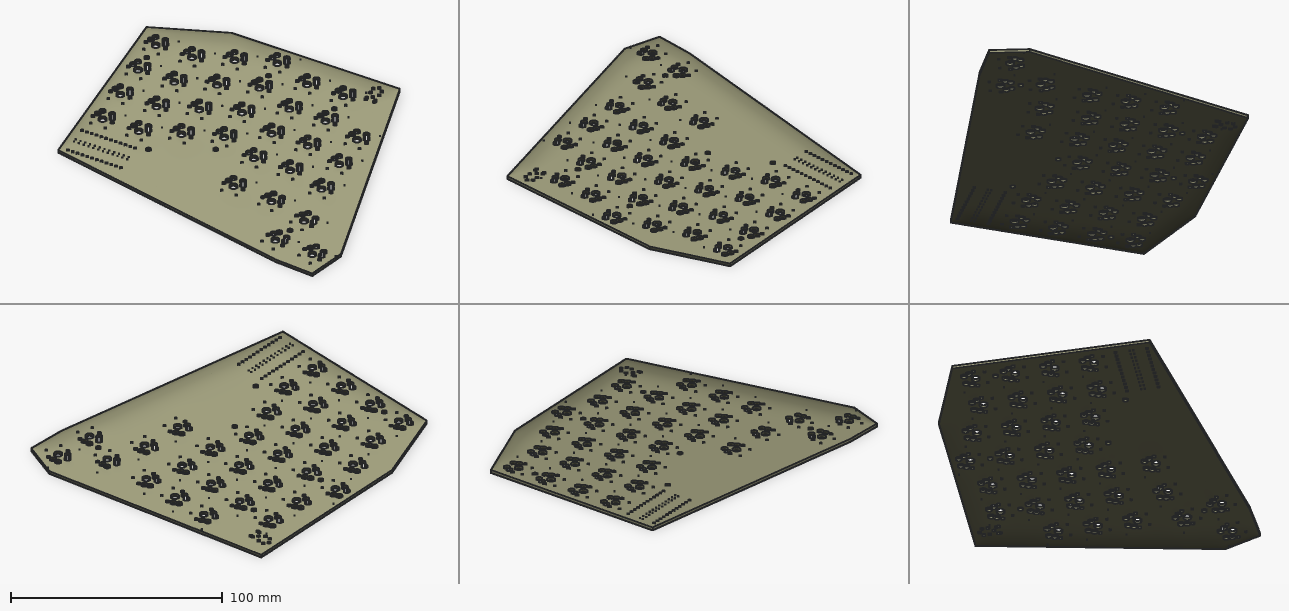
import cadquery as cq
import math

LENGTH = 151.7
WIDTH = 133.3
THICKNESS = 1.7
RIGHT = LENGTH / 2
LEFT = -RIGHT
BACK = WIDTH / 2
FRONT = -BACK
OUTLINE = [
    (LEFT, -42.5),
    (LEFT, 52.6),
    (-37.9, BACK),
    (50.5, BACK),
    (RIGHT, -48.5),
    (69.6, FRONT),
    (50.0, -65.5),
]

COLUMN_BACK_Y = [43.2, 43.2, 50.2, 57.2, 50.2, 50.2, 26.1]
COLUMN_KEYS = [4, 4, 4, 4, 4, 4, 3]
FIRST_COLUMN_X = -66.5
KEY_FIELD_WIDTH = 114.2
KEY_PITCH = KEY_FIELD_WIDTH / (len(COLUMN_KEYS) - 1)
GRID = KEY_PITCH / 15

THUMB_KEYS = [
    (9.5, -28.5, 0),
    (30.3, -30.2, 10),
    (50.0, -35.5, 20),
    (43.7, -53.4, 20),
    (63.7, -54.6, 20),
]

STEM_DIAMETER = 4.0
PEG_DIAMETER = 1.7
PEG_X = 4 * GRID
SOCKET_DIAMETER = 3.0
SOCKET_BACK = (2 * GRID, 4 * GRID)
SOCKET_FRONT = (3 * GRID, 2 * GRID)
DIODE_DIAMETER = 0.99
DIODE_X = 3 * GRID
DIODE_Y = -5.0
KEY_VIA_DIAMETER = 0.3
KEY_VIA = (8.6, 7.1)

HEADER_PINS = 12
HEADER_PITCH = 2 * GRID
HEADER_FIRST_X = -71.7
HEADER_CENTRE_Y = -32.8
HEADER_ROW_SPACING = 12 * GRID
HEADER_PIN_DIAMETER = 1.1
HEADER_VIA_CENTRE_Y = -32.9
HEADER_VIA_ROW_SPACING = 1.7
HEADER_VIA_DIAMETER = 0.4

JACK_X = 41.4
JACK_BACK_Y = 63.0
JACK_PEG_SPACING = 7.0
JACK_PIN_X = 2.3
JACK_PIN_STEPS = [1.7, 4.5, 8.6, 9.7]
JACK_HOLE_DIAMETER = 1.5

MOUNT_DIAMETER = 2.5
MOUNT_HOLES = [
    (-66.5, 33.7),
    (-9.3, 47.6),
    (-9.3, -9.3),
    (28.8, 40.7),
    (-37.8, -23.2),
    (47.0, -44.3),
]


def mirrored(x, y):
    """A point and its mirror image across the Y axis."""
    return [(-x, y), (x, y)]


def key_places():
    """Centre and clockwise turn of every key."""
    places = []
    for column, (back_y, count) in enumerate(zip(COLUMN_BACK_Y, COLUMN_KEYS)):
        x = FIRST_COLUMN_X + column * KEY_PITCH
        places += [(x, back_y - row * KEY_PITCH, 0) for row in range(count)]
    return places + THUMB_KEYS


def on_every_key(points):
    """Points given from a switch centre, repeated on every key."""
    centres = []
    for key_x, key_y, turn in key_places():
        cosine = math.cos(math.radians(turn))
        sine = math.sin(math.radians(turn))
        for x, y in points:
            centres.append((key_x + x * cosine + y * sine, key_y - x * sine + y * cosine))
    return centres


def header_row(y):
    return [(HEADER_FIRST_X + pin * HEADER_PITCH, y) for pin in range(HEADER_PINS)]


def header_row_pair(centre_y, spacing):
    return header_row(centre_y + spacing / 2) + header_row(centre_y - spacing / 2)


def jack_holes():
    centres = [(JACK_X, JACK_BACK_Y), (JACK_X, JACK_BACK_Y - JACK_PEG_SPACING)]
    for step in JACK_PIN_STEPS:
        y = JACK_BACK_Y - step
        centres += [(JACK_X - JACK_PIN_X, y), (JACK_X + JACK_PIN_X, y)]
    return centres


SEPARATE_HOLES = [
    (STEM_DIAMETER, on_every_key([(0, 0)])),
    (PEG_DIAMETER, on_every_key(mirrored(PEG_X, 0))),
    (DIODE_DIAMETER, on_every_key(mirrored(DIODE_X, DIODE_Y))),
    (KEY_VIA_DIAMETER, on_every_key([KEY_VIA])),
    (HEADER_PIN_DIAMETER, header_row_pair(HEADER_CENTRE_Y, HEADER_ROW_SPACING)),
    (HEADER_VIA_DIAMETER, header_row_pair(HEADER_VIA_CENTRE_Y, HEADER_VIA_ROW_SPACING)),
    (MOUNT_DIAMETER, MOUNT_HOLES),
]

OVERLAPPING_HOLES = [
    (SOCKET_DIAMETER, on_every_key(mirrored(*SOCKET_BACK) + mirrored(*SOCKET_FRONT))),
    (JACK_HOLE_DIAMETER, jack_holes()),
]


def make_plate():
    sketch = cq.Workplane("XY", origin=(0, 0, -THICKNESS / 2)).polyline(OUTLINE).close()
    for diameter, centres in SEPARATE_HOLES:
        sketch = sketch.pushPoints(centres).circle(diameter / 2)
    return sketch.extrude(THICKNESS)


def hole_cutters(diameter, centres):
    """One round cutter through the full thickness at each centre."""
    sketch = cq.Workplane("XY").pushPoints(centres).circle(diameter / 2)
    return sketch.extrude(THICKNESS, both=True).vals()


cutters = []
for hole_diameter, hole_centres in OVERLAPPING_HOLES:
    cutters += hole_cutters(hole_diameter, hole_centres)

result = cq.Workplane("XY").newObject([make_plate().val().cut(*cutters)])